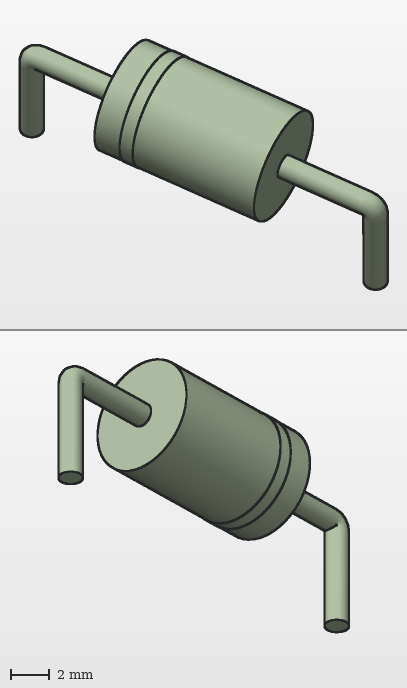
import cadquery as cq

overall_length = 21.6
overall_height = 9.26
body_diameter = 6.22
body_length = 9.43
band_diameter = 6.26
band_width = 0.78
band_offset = 1.5
lead_diameter = 1.27
bend_outer_radius = 1.15

lead_radius = lead_diameter / 2
axis_height = overall_height - band_diameter / 2
bend_radius = bend_outer_radius - lead_radius
lead_x = overall_length / 2 - lead_radius
bend_x = lead_x - bend_radius
bend_z = axis_height - bend_radius


def cylinder_along_x(diameter, start_x, length):
    """Solid cylinder on the component axis, running toward +X."""
    return (
        cq.Workplane("YZ", origin=(start_x, 0, axis_height))
        .circle(diameter / 2)
        .extrude(length)
    )


def bend():
    """Quarter-turn elbow at the +X end.

    The centreline radius is smaller than the lead radius, so only the part
    of the lead section outside the bend axis is revolved.
    """
    half_chord = (lead_radius**2 - bend_radius**2) ** 0.5
    return (
        cq.Workplane("XY", origin=(bend_x, 0, bend_z))
        .moveTo(0, -half_chord)
        .threePointArc((bend_outer_radius, 0), (0, half_chord))
        .close()
        .revolve(90, (0, 0), (0, -1))
    )


def lead():
    """Lead at the +X end: horizontal run, elbow and vertical leg."""
    horizontal_run = cylinder_along_x(lead_diameter, 0, bend_x)
    vertical_leg = cq.Workplane("XY").center(lead_x, 0).circle(lead_radius).extrude(bend_z)
    return horizontal_run.union(vertical_leg).union(bend())


body = cylinder_along_x(body_diameter, -body_length / 2, body_length)
band = cylinder_along_x(band_diameter, -body_length / 2 + band_offset, band_width)
right_lead = lead()
left_lead = right_lead.mirror("YZ")

result = body.union(band).union(right_lead).union(left_lead)